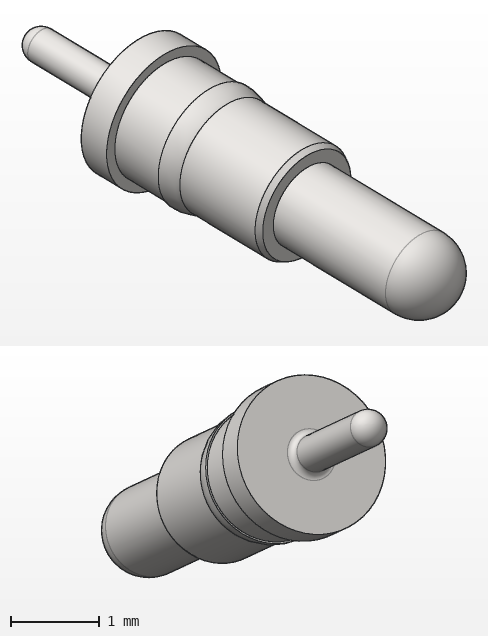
import cadquery as cq
import math


total_length = 6.76
x_tail_tip = -total_length / 2
x_plunger_tip = total_length / 2

tail_radius = 0.215
flange_radius = 0.916
collar_radius = 0.785
ridge_radius = 0.805
barrel_radius = 0.745
plunger_radius = 0.535

tail_length = 1.765
flange_thickness = 0.405
collar_length = 0.71
ridge_length = 0.285
barrel_length = 1.28

tail_fillet = 0.08
barrel_chamfer = 0.08
barrel_chamfer_depth = 0.04
ridge_arc_bulge = 0.02

x_flange = x_tail_tip + tail_length
x_collar = x_flange + flange_thickness
x_ridge = x_collar + collar_length
x_barrel = x_ridge + ridge_length
x_barrel_end = x_barrel + barrel_length
x_plunger_dome = x_plunger_tip - plunger_radius

diagonal = math.sqrt(0.5)
tail_dome_middle = (
    x_tail_tip + tail_radius * (1 - diagonal),
    tail_radius * diagonal,
)
tail_fillet_middle = (
    x_flange - tail_fillet * (1 - diagonal),
    tail_radius + tail_fillet * (1 - diagonal),
)
plunger_dome_middle = (
    x_plunger_dome + plunger_radius * diagonal,
    plunger_radius * diagonal,
)
ridge_middle = (
    (x_ridge + x_barrel) / 2,
    (ridge_radius + barrel_radius) / 2 + ridge_arc_bulge,
)

profile = (
    cq.Workplane("XY")
    .moveTo(x_tail_tip, 0)
    .threePointArc(tail_dome_middle, (x_tail_tip + tail_radius, tail_radius))
    .lineTo(x_flange - tail_fillet, tail_radius)
    .threePointArc(tail_fillet_middle, (x_flange, tail_radius + tail_fillet))
    .lineTo(x_flange, flange_radius)
    .lineTo(x_collar, flange_radius)
    .lineTo(x_collar, collar_radius)
    .lineTo(x_ridge, collar_radius)
    .lineTo(x_ridge, ridge_radius)
    .threePointArc(ridge_middle, (x_barrel, barrel_radius))
    .lineTo(x_barrel_end - barrel_chamfer, barrel_radius)
    .lineTo(x_barrel_end, barrel_radius - barrel_chamfer_depth)
    .lineTo(x_barrel_end, plunger_radius)
    .lineTo(x_plunger_dome, plunger_radius)
    .threePointArc(plunger_dome_middle, (x_plunger_tip, 0))
    .close()
)

result = profile.revolve(360, (0, 0, 0), (1, 0, 0))